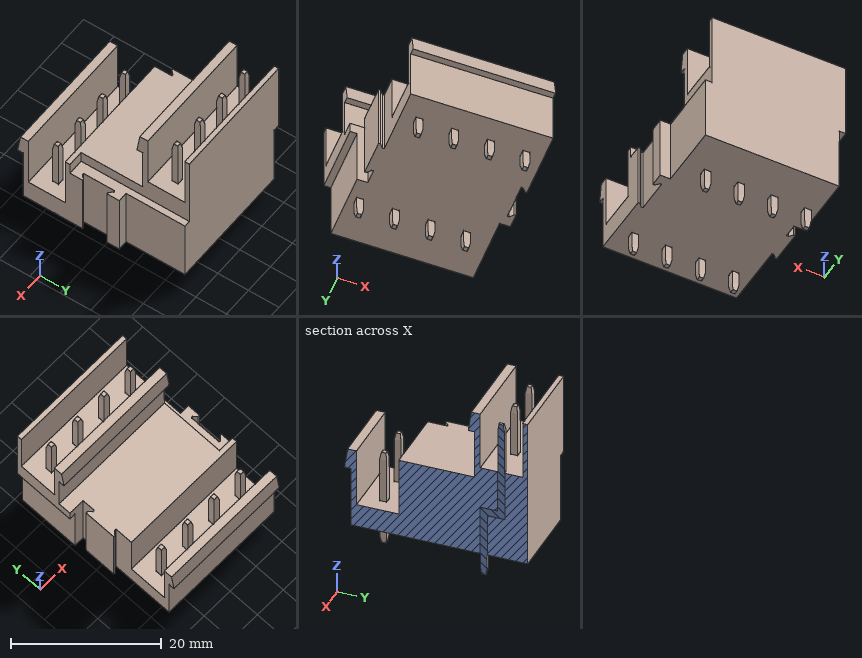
import cadquery as cq


overall_width = 22.86
overall_depth = 26.28
positions = 4
half_pitch = overall_width / (2 * positions + 1)
pitch = 2 * half_pitch
tier_width = positions * pitch
tier_rise = 2 * pitch
body_depth = 5 * pitch

deck_height = 11.98
tier_offset = 17.75
slot_floor = 3.47
front_wall = 0.87
slot_depth = 6.05
tier_depth = body_depth - tier_offset
upper_height = deck_height + tier_rise

hook_height = 3.07
hook_lip = 0.32
hook_top_reach = 0.45
hook_tip_reach = overall_depth - body_depth

ledge_overhang = 1.0
ledge_front = body_depth - 9.65
notch_front = 7.67
dovetail_middle = (ledge_front + notch_front) / 2
dovetail_depth = 1.02
dovetail_lip = 0.25
dovetail_half_tip = 2.55
dovetail_half_neck = 2.0

pin_size = 1.0
pin_tip_size = 0.63
pin_taper = 1.0
pin_row_y = 3.85
pin_top_drop = 0.92
tail_length = 3.2
tail_row_spacing = 3 * pitch
jog_height = (slot_floor + tier_rise) / 2


def left_edge(back_x, shift=0.0):
    """Interlocking left side in plan, from front to back; back_x is its rear stretch."""
    root_x = half_pitch
    tip_x = root_x - dovetail_depth
    neck_front = dovetail_middle - dovetail_half_neck
    neck_back = dovetail_middle + dovetail_half_neck
    tip_front = dovetail_middle - dovetail_half_tip
    tip_back = dovetail_middle + dovetail_half_tip
    points = [
        (root_x, 0),
        (root_x, neck_front),
        (root_x - dovetail_lip, neck_front),
        (tip_x + dovetail_lip, tip_front),
        (tip_x, tip_front),
        (tip_x, tip_back),
        (tip_x + dovetail_lip, tip_back),
        (root_x - dovetail_lip, neck_back),
        (root_x, neck_back),
        (root_x, ledge_front),
        (back_x, ledge_front),
        (back_x, body_depth),
    ]
    return [(x + shift, y) for x, y in points]


def plate(points, bottom, top):
    """Prism with a plan outline, between two heights."""
    return cq.Workplane("XY").workplane(offset=bottom).polyline(points).close().extrude(top - bottom)


def block(x_range, y_range, z_range):
    """Axis-aligned box between pairs of limits."""
    size = [high - low for low, high in (x_range, y_range, z_range)]
    corner = (x_range[0], y_range[0], z_range[0])
    return cq.Workplane("XY").box(*size, centered=False).translate(corner)


def latch_hook(left_x, face_y, top):
    """Wedge-shaped hook along the rim of a tier's front wall."""
    tip_y = face_y - hook_tip_reach
    outline = [
        (face_y, top),
        (face_y - hook_top_reach, top),
        (tip_y, top - hook_height + hook_lip),
        (tip_y, top - hook_height),
        (face_y, top - hook_height),
    ]
    hook = cq.Workplane("YZ").polyline(outline).close().extrude(tier_width)
    return hook.translate((left_x, 0, 0))


def mating_slot(left_x, face_y, floor, top):
    """Space between the front and back walls of a tier, open at both ends."""
    slot_front = face_y + front_wall
    return block((left_x, left_x + tier_width), (slot_front, slot_front + slot_depth), (floor, top))


def make_housing():
    left = left_edge(ledge_overhang)
    right = left_edge(ledge_overhang, tier_width)
    body = plate(left + right[::-1], 0, tier_rise)

    deck_right = [
        (tier_width, body_depth),
        (tier_width, notch_front),
        (overall_width, notch_front),
        (overall_width, 0),
    ]
    body = body.union(plate(left_edge(0) + deck_right, tier_rise, deck_height))

    body = body.union(block((0, tier_width), (tier_offset, body_depth), (deck_height, upper_height)))

    for left_x, face_y, rise in [(half_pitch, 0, 0), (0, tier_offset, tier_rise)]:
        top = deck_height + rise
        body = body.cut(mating_slot(left_x, face_y, slot_floor + rise, top))
        body = body.union(latch_hook(left_x, face_y, top))
    return body


def pin_end(x, y, shoulder, direction):
    """Tapered end that runs up (+1) or down (-1) from the shoulder of a pin."""
    return (
        cq.Workplane("XY")
        .rect(pin_size, pin_size)
        .workplane(offset=direction * pin_taper)
        .rect(pin_tip_size, pin_tip_size)
        .loft(ruled=True)
        .translate((x, y, shoulder))
    )


def make_pin(x, top_y, tail_y, top):
    """Square pin with tapered ends, bent in the housing where its tail is not below its top."""
    half = pin_size / 2
    top_shoulder = top - pin_taper
    tail_shoulder = pin_taper - tail_length
    across = (x - half, x + half)
    pin = block(across, (tail_y - half, tail_y + half), (tail_shoulder, jog_height + half))
    jog_y = (min(tail_y, top_y) - half, max(tail_y, top_y) + half)
    pin = pin.union(block(across, jog_y, (jog_height - half, jog_height + half)))
    pin = pin.union(block(across, (top_y - half, top_y + half), (jog_height - half, top_shoulder)))
    pin = pin.union(pin_end(x, top_y, top_shoulder, 1))
    return pin.union(pin_end(x, tail_y, tail_shoulder, -1)).clean()


upper_y = pin_row_y + tier_offset
upper_tail_y = pin_row_y + tail_row_spacing
lower_pins = []
upper_pins = []
for index in range(positions):
    upper_x = half_pitch + index * pitch
    lower_x = upper_x + half_pitch
    lower_pins.append(make_pin(lower_x, pin_row_y, pin_row_y, deck_height - pin_top_drop))
    upper_pins.append(make_pin(upper_x, upper_y, upper_tail_y, upper_height - pin_top_drop))
pins = lower_pins + upper_pins

housing = make_housing()
for pin in pins:
    housing = housing.cut(pin)

result = cq.Compound.makeCompound([housing.solids().val(), *[pin.solids().val() for pin in pins]])